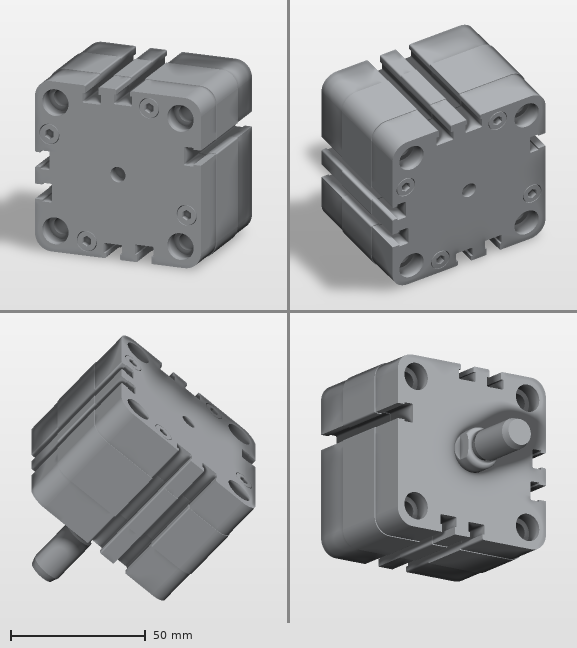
import cadquery as cq
import math

TUBE_SIZE = 67.0
CAP_STEP = 0.29
CAP_SIZE = TUBE_SIZE - 2 * CAP_STEP
CORNER_RADIUS = 6.6
CAP_LENGTH = 14.85
TUBE_LENGTH = 20.8
BODY_LENGTH = 2 * CAP_LENGTH + TUBE_LENGTH

CUTTER_OVERRUN = 1.6
SLOT_CAVITY_WIDTH = 6.7
CAVITY_FILLET = 0.5
LIP_FILLET = 0.6
DEEP_SLOT_X = -10.5
DEEP_SLOT_DEPTH = 6.8
DEEP_LIP_DEPTH = 3.3
DEEP_NECK_WIDTH = 5.3
SHALLOW_SLOT_X = 2.05
SHALLOW_SLOT_DEPTH = 5.9
SHALLOW_LIP_DEPTH = 2.4
SHALLOW_NECK_WIDTH = 5.65
TOP, LEFT, BOTTOM, RIGHT = 0, 90, 180, 270

MOUNT_PITCH = 50.0
MOUNT_HOLE_DIAMETER = 6.65
COUNTERBORE_DIAMETER = 10.5
COUNTERBORE_DEPTH = 6.7
PORT_DIAMETER = 6.0
PORT_DEPTH = 4.9

SCREW_X = 12.5
SCREW_Z = 27.5
SCREW_BORE_DIAMETER = 8.0
SCREW_HEAD_DIAMETER = 7.5
SCREW_GAP_DEPTH = 4.1
HEX_ACROSS_FLATS = 3.5
HEX_DEPTH = 2.5

TOTAL_LENGTH = 82.0
SHANK_DIAMETER = 16.0
SHANK_END = 57.9
SHANK_END_FILLET = 1.8
FLAT_WIDTH = 13.1
FLAT_START = 52.2
UNDERCUT_DIAMETER = 10.0
THREAD_DIAMETER = 12.0
THREAD_START = 60.5
THREAD_START_CHAMFER = 0.65
THREAD_TIP_LENGTH = 2.9


def box_at(x_min, x_max, y_min, y_max, z_min, z_max):
    """Box given by its limits along each axis."""
    size = (x_max - x_min, y_max - y_min, z_max - z_min)
    return cq.Workplane("XY").box(*size, centered=False).translate((x_min, y_min, z_min))


def cylinder_y(diameter, y_min, length, x=0, z=0):
    """Cylinder along +Y starting at y_min."""
    start = cq.Vector(x, y_min, z)
    return cq.Workplane(cq.Solid.makeCylinder(diameter / 2, length, start, cq.Vector(0, 1, 0)))


def turn_about_y(shape, angle):
    """Quarter turns that carry the top side to the left, bottom and right sides."""
    return shape.rotate((0, 0, 0), (0, 1, 0), -angle)


def lip_rounding(edge_x, side, surface_z, y_min, y_max):
    """Waste beside a rounded lip edge at edge_x; side is the direction away from the slot."""
    r = LIP_FILLET
    corner = box_at(min(edge_x, edge_x + side * r), max(edge_x, edge_x + side * r),
                    y_min, y_max, surface_z - r, surface_z)
    return corner.cut(cylinder_y(2 * r, y_min, y_max - y_min, edge_x + side * r, surface_z - r))


def t_slot(center_x, neck_width, lip_depth, depth, surface_z, growth, y_min, y_max, rounded_sides):
    """T-slot open at the top; growth enlarges the cavity in the caps."""
    half_cavity = SLOT_CAVITY_WIDTH / 2 + growth
    half_neck = neck_width / 2
    lip_z = TUBE_SIZE / 2 - lip_depth
    floor_z = TUBE_SIZE / 2 - depth - growth
    cavity = box_at(center_x - half_cavity, center_x + half_cavity, y_min, y_max, floor_z, lip_z)
    cavity = cavity.edges("|Y and <Z").fillet(CAVITY_FILLET)
    neck = box_at(center_x - half_neck, center_x + half_neck,
                  y_min, y_max, lip_z, surface_z + CUTTER_OVERRUN)
    slot = cavity.union(neck)
    for side in rounded_sides:
        slot = slot.union(lip_rounding(center_x + side * half_neck, side, surface_z, y_min, y_max))
    return slot


def section(is_cap, y_min, length):
    """One slotted body section: an end cap or the middle tube."""
    size = CAP_SIZE if is_cap else TUBE_SIZE
    growth = CAP_STEP if is_cap else 0
    y_max = y_min + length
    half = size / 2
    body = box_at(-half, half, y_min, y_max, -half, half)
    body = body.edges("|Y").fillet(CORNER_RADIUS)

    for angle in (TOP, LEFT, BOTTOM, RIGHT):
        wide = is_cap and angle != TOP
        neck_width = DEEP_NECK_WIDTH + 2 * CAP_STEP if wide else DEEP_NECK_WIDTH
        deep = t_slot(DEEP_SLOT_X, neck_width, DEEP_LIP_DEPTH, DEEP_SLOT_DEPTH,
                      half, growth, y_min, y_max, () if wide else (-1, 1))
        body = body.cut(turn_about_y(deep, angle))

    for angle in (TOP, LEFT, BOTTOM):
        shallow = t_slot(SHALLOW_SLOT_X, SHALLOW_NECK_WIDTH, SHALLOW_LIP_DEPTH, SHALLOW_SLOT_DEPTH,
                         half, growth, y_min, y_max, (-1, 1) if is_cap else (-1,))
        body = body.cut(turn_about_y(shallow, angle))
    return body


def mounting_hole(x, z):
    """Through hole with a counterbore at both ends."""
    hole = cylinder_y(MOUNT_HOLE_DIAMETER, 0, BODY_LENGTH, x, z)
    for y_min in (0, BODY_LENGTH - COUNTERBORE_DEPTH):
        hole = hole.union(cylinder_y(COUNTERBORE_DIAMETER, y_min, COUNTERBORE_DEPTH, x, z))
    return hole


def screw_recess(x, z):
    """Gap around a screw head and its hexagon socket."""
    gap = cylinder_y(SCREW_BORE_DIAMETER, 0, SCREW_GAP_DEPTH, x, z)
    gap = gap.cut(cylinder_y(SCREW_HEAD_DIAMETER, 0, SCREW_GAP_DEPTH, x, z))
    across_corners = HEX_ACROSS_FLATS / math.cos(math.pi / 6)
    socket = cq.Workplane("XZ").polygon(6, across_corners).extrude(-HEX_DEPTH)
    socket = socket.rotate((0, 0, 0), (0, 1, 0), 90).translate((x, 0, z))
    return gap.union(socket)


def piston_rod():
    """Turned rod with two wrench flats on its shank."""
    shank_r = SHANK_DIAMETER / 2
    undercut_r = UNDERCUT_DIAMETER / 2
    thread_r = THREAD_DIAMETER / 2
    fillet_center_r = shank_r - SHANK_END_FILLET
    fillet_center_y = SHANK_END - SHANK_END_FILLET
    fillet_mid_offset = SHANK_END_FILLET * math.sqrt(0.5)
    rod = (
        cq.Workplane("XY")
        .moveTo(0, BODY_LENGTH)
        .lineTo(shank_r, BODY_LENGTH)
        .lineTo(shank_r, fillet_center_y)
        .threePointArc(
            (fillet_center_r + fillet_mid_offset, fillet_center_y + fillet_mid_offset),
            (fillet_center_r, SHANK_END),
        )
        .lineTo(undercut_r, SHANK_END)
        .lineTo(undercut_r, THREAD_START)
        .lineTo(thread_r - THREAD_START_CHAMFER, THREAD_START)
        .lineTo(thread_r, THREAD_START + THREAD_START_CHAMFER)
        .lineTo(thread_r, TOTAL_LENGTH - THREAD_TIP_LENGTH)
        .lineTo(undercut_r, TOTAL_LENGTH)
        .lineTo(0, TOTAL_LENGTH)
        .close()
        .revolve(360, (0, 0, 0), (0, 1, 0))
    )

    flat_x = FLAT_WIDTH / 2
    runout = FLAT_START - BODY_LENGTH
    flat = (
        cq.Workplane("XY")
        .moveTo(flat_x, SHANK_END)
        .lineTo(flat_x, FLAT_START)
        .lineTo(flat_x + runout, BODY_LENGTH)
        .lineTo(flat_x + runout, SHANK_END)
        .close()
        .extrude(shank_r, both=True)
    )
    return rod.cut(flat).cut(flat.mirror("YZ"))


result = (
    section(True, 0, CAP_LENGTH)
    .union(section(False, CAP_LENGTH, TUBE_LENGTH))
    .union(section(True, CAP_LENGTH + TUBE_LENGTH, CAP_LENGTH))
    .union(piston_rod())
)

for x_sign in (-1, 1):
    for z_sign in (-1, 1):
        result = result.cut(mounting_hole(x_sign * MOUNT_PITCH / 2, z_sign * MOUNT_PITCH / 2))

screw_centers = [
    (SCREW_X, SCREW_Z),
    (-SCREW_Z, SCREW_X),
    (-SCREW_X, -SCREW_Z),
    (SCREW_Z, -SCREW_X),
]
for screw_x, screw_z in screw_centers:
    result = result.cut(screw_recess(screw_x, screw_z))

result = result.cut(cylinder_y(PORT_DIAMETER, 0, PORT_DEPTH))